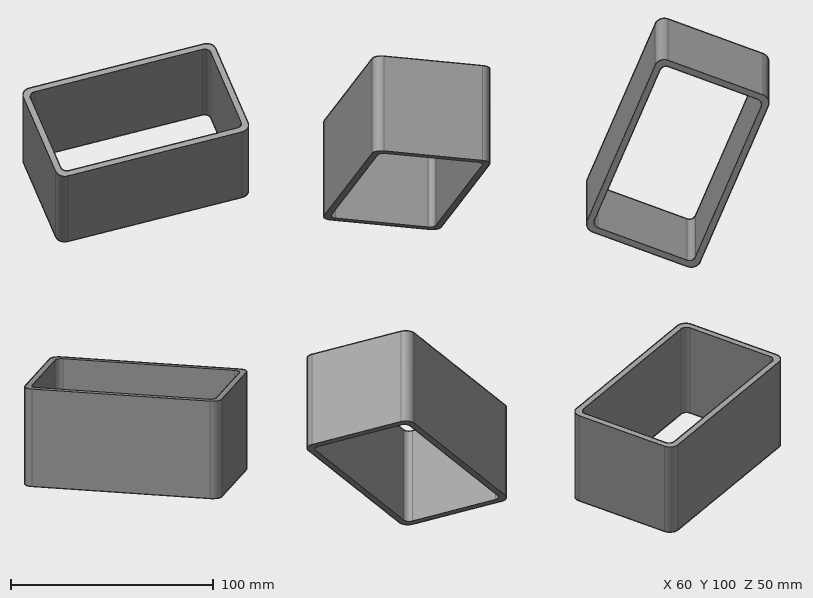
import cadquery as cq

width = 60.0
length = 100.0
height = 50.0
wall = 3.2
outer_radius = 1.5 * wall
inner_radius = wall


def rounded_block(size_x, size_y, corner_radius):
    """Block of the tube's height with rounded vertical edges."""
    block = cq.Workplane("XY").rect(size_x, size_y).extrude(height)
    return block.edges("|Z").fillet(corner_radius)


outer = rounded_block(width, length, outer_radius)
opening = rounded_block(width - 2 * wall, length - 2 * wall, inner_radius)

result = outer.cut(opening)